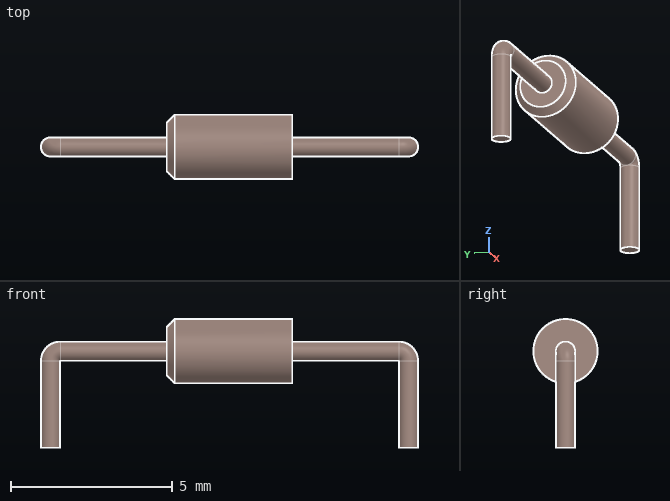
import cadquery as cq

overall_length = 11.7
overall_height = 4.0

housing_diameter = 2.0
housing_length = 3.9
housing_chamfer = 0.25

lead_diameter = 0.6
lead_radius = lead_diameter / 2
lead_end_z = housing_diameter / 2 - overall_height

bend_inner_radius = 0.006
bend_radius = lead_radius + bend_inner_radius
leg_x = overall_length / 2 - lead_radius
bend_x = leg_x - bend_radius
bend_z = -bend_radius
bend_angle = 90


def make_housing():
    """Solid cylinder with a chamfered rim on its -X end."""
    return (
        cq.Workplane("YZ")
        .workplane(offset=-housing_length / 2)
        .circle(housing_diameter / 2)
        .extrude(housing_length)
        .faces("<X")
        .chamfer(housing_chamfer)
    )


def make_right_lead():
    """Round wire from the +X housing face, bent down at its outer end."""
    horizontal_run = (
        cq.Workplane("YZ")
        .workplane(offset=housing_length / 2)
        .circle(lead_radius)
        .extrude(bend_x - housing_length / 2)
    )
    bend = (
        cq.Workplane("YZ", origin=(bend_x, 0, 0))
        .circle(lead_radius)
        .revolve(bend_angle, (0, bend_z), (1, bend_z))
    )
    vertical_run = (
        cq.Workplane("XY", origin=(leg_x, 0, lead_end_z))
        .circle(lead_radius)
        .extrude(bend_z - lead_end_z)
    )
    return horizontal_run.union(bend).union(vertical_run)


def make_lead(turn):
    """Lead turned about the vertical axis to its end of the housing."""
    return make_right_lead().rotate((0, 0, 0), (0, 0, 1), turn)


housing = make_housing()
leads = [make_lead(turn) for turn in (0, 180)]

result = cq.Compound.makeCompound([housing.val(), *[lead.solids().val() for lead in leads]])